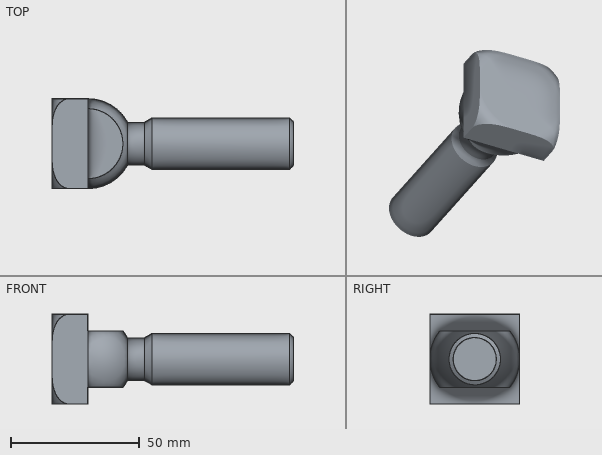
import cadquery as cq
import math

head_side = 35.0
head_thickness = 14.0
head_fillet = 6.9
total_length = 94.0

ball_radius = head_side / 2
collar_height = 22.0

shank_radius = 10.0
neck_radius = 8.3
neck_end = 36.0
neck_cone_angle = 30.0
tip_chamfer = 1.6

head_corner_radius = head_side / math.sqrt(2)


def make_head():
    """Square block whose front corners are rounded by a filleted disc."""
    block = cq.Workplane("YZ").rect(head_side, head_side).extrude(head_thickness)
    disc = (
        cq.Workplane("YZ")
        .circle(head_corner_radius)
        .extrude(head_thickness)
        .faces("<X")
        .edges()
        .fillet(head_fillet)
    )
    return block.intersect(disc)


def make_collar():
    """Half ball centred on the back of the head, cut to the collar height."""
    ball = cq.Workplane("XY").sphere(ball_radius).translate((head_thickness, 0, 0))
    slab = (
        cq.Workplane("XY")
        .box(ball_radius, head_side, collar_height, centered=(False, True, True))
        .translate((head_thickness, 0, 0))
    )
    return ball.intersect(slab)


def make_shank():
    """Revolved neck, conical shoulder and chamfered cylinder."""
    shoulder_rise = shank_radius - neck_radius
    shoulder_end = neck_end + shoulder_rise / math.tan(math.radians(neck_cone_angle))
    return (
        cq.Workplane("XY")
        .moveTo(head_thickness, 0)
        .lineTo(head_thickness, neck_radius)
        .lineTo(neck_end, neck_radius)
        .lineTo(shoulder_end, shank_radius)
        .lineTo(total_length - tip_chamfer, shank_radius)
        .lineTo(total_length, shank_radius - tip_chamfer)
        .lineTo(total_length, 0)
        .close()
        .revolve(360, (0, 0, 0), (1, 0, 0))
    )


result = make_head().union(make_collar()).union(make_shank())